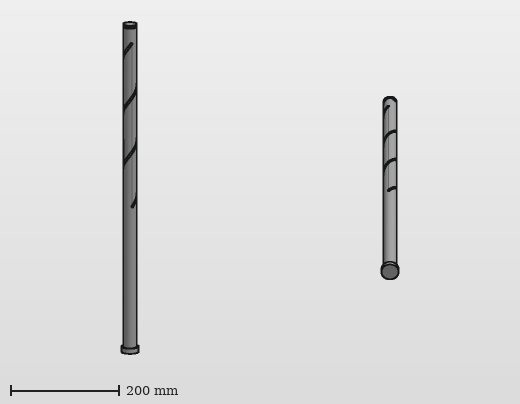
import cadquery as cq
import math

total_length = 630.0
head_diameter = 32.0
head_height = 10.0
shaft_diameter = 25.0

ring_groove_diameter = 20.5
ring_groove_width = 4.0
tip_land = 2.0

helix_pitch = 105.0
helix_turns = 3
helix_top_gap = 34.0
helix_groove_width = 4.0
helix_groove_depth = 1.0

shaft_radius = shaft_diameter / 2
helix_height = helix_pitch * helix_turns
helix_start_z = total_length - helix_top_gap - helix_height


def make_body():
    """Shaft with a round head at the base."""
    head = cq.Workplane("XY").circle(head_diameter / 2).extrude(head_height)
    shaft = cq.Workplane("XY").circle(shaft_radius).extrude(total_length)
    return head.union(shaft)


def make_ring_groove():
    """Ring of material removed just below the tip land."""
    return (
        cq.Workplane("XY", origin=(0, 0, total_length - tip_land - ring_groove_width))
        .circle(head_diameter / 2)
        .circle(ring_groove_diameter / 2)
        .extrude(ring_groove_width)
    )


def make_helical_groove():
    """Round-bottomed groove cutter, swept along a helix on the shaft surface."""
    half_width = helix_groove_width / 2
    cutter_radius = (half_width**2 + helix_groove_depth**2) / (2 * helix_groove_depth)
    path_radius = shaft_radius - helix_groove_depth + cutter_radius
    path = cq.Workplane(cq.Wire.makeHelix(helix_pitch, helix_height, path_radius))

    rise_angle = math.atan2(helix_pitch, 2 * math.pi * path_radius)
    tangent = cq.Vector(0, math.cos(rise_angle), math.sin(rise_angle))
    profile_plane = cq.Plane(origin=(path_radius, 0, 0), xDir=(1, 0, 0), normal=tangent)
    cutter = cq.Workplane(profile_plane).circle(cutter_radius).sweep(path, isFrenet=True)
    return cutter.translate((0, 0, helix_start_z))


result = make_body().cut(make_ring_groove()).cut(make_helical_groove())